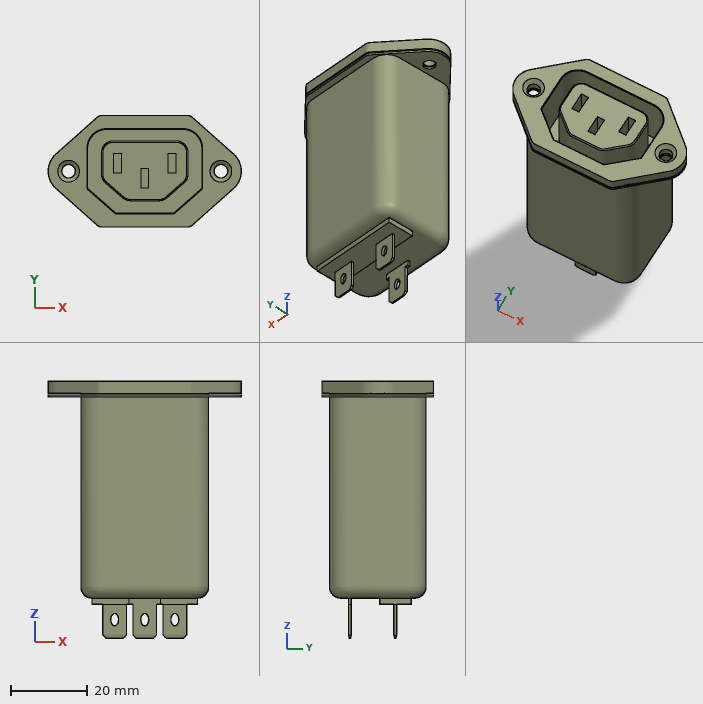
import math

import cadquery as cq

OVERALL_HEIGHT = 67.5

FLANGE_LENGTH = 50.8
FLANGE_WIDTH = 29.4
FLANGE_THICKNESS = 3.2
END_RADIUS = 6.0
SHOULDER_RADIUS = 2.0
FLANK_NORMAL_ANGLE = math.radians(48.3)
PLATE_GAP = 0.4
PLATE_THICKNESS = 0.6

SCREW_SPACING = 40.0
SCREW_DIAMETER = 3.5
COUNTERSINK_DIAMETER = 5.7
COUNTERSINK_ANGLE = math.radians(90)

BODY_LENGTH = 33.6
BODY_WIDTH = 25.4
BODY_CORNER_RADIUS = 5.0
BODY_BOTTOM_RADIUS = 3.0

RECESS_LENGTH = 30.0
RECESS_WIDTH = 22.0
RECESS_CUT_X = 7.4
RECESS_CUT_Y = 6.5
RECESS_CORNER_RADIUS = 5.0
RECESS_DEPTH = 17.0
RECESS_RIM_CHAMFER = 0.2
ISLAND_LENGTH = 22.7
ISLAND_WIDTH = 15.7
ISLAND_OFFSET_Y = 0.1
ISLAND_CUT_X = 6.4
ISLAND_CUT_Y = 5.6
ISLAND_CORNER_RADIUS = 3.0
ISLAND_CUT_RADIUS = 3.0
ISLAND_TOP_CHAMFER = 0.35

SLOT_WIDTH = 2.1
SLOT_LENGTH = 5.1
SLOT_OUTER_X = 7.1
SLOT_OFFSET_Y = 1.95
SLOT_DEPTH = RECESS_DEPTH

TAB_WIDTH = 6.3
TAB_THICKNESS = 0.8
TAB_LENGTH = 8.9
TAB_SPACING = 7.9
TAB_TIP_CHAMFER = 0.9
TAB_TIP_BEVEL = 0.2
TAB_HOLE_WIDTH = 2.0
TAB_HOLE_HEIGHT = 3.2
TAB_HOLE_ABOVE_TIP = 4.9
OUTER_TAB_Y = 4.6
MIDDLE_TAB_Y = -7.3
TAB_SHOULDER_WIDTH = 8.3

BLOCK_LENGTH = 27.8
BLOCK_HEIGHT = 1.6
BLOCK_BACK_Y = 8.8
BLOCK_FRONT_Y = 0.5

TIP_Z = -OVERALL_HEIGHT
BLOCK_BOTTOM_Z = TIP_Z + TAB_LENGTH
BODY_BOTTOM_Z = BLOCK_BOTTOM_Z + BLOCK_HEIGHT
PLATE_TOP_Z = -FLANGE_THICKNESS - PLATE_GAP
EMBED = 1.0


def flange_layer(top_z, thickness):
    """Hexagonal layer with rounded ends and softened shoulders."""
    half_width = FLANGE_WIDTH / 2
    end_centre_x = FLANGE_LENGTH / 2 - END_RADIUS
    tip_x = end_centre_x + END_RADIUS / math.cos(FLANK_NORMAL_ANGLE)
    shoulder_x = tip_x - half_width * math.tan(FLANK_NORMAL_ANGLE)
    outline = [
        (tip_x, 0),
        (shoulder_x, half_width),
        (-shoulder_x, half_width),
        (-tip_x, 0),
        (-shoulder_x, -half_width),
        (shoulder_x, -half_width),
    ]
    layer = cq.Workplane("XY", origin=(0, 0, top_z)).polyline(outline).close().extrude(-thickness)
    layer = layer.edges("|Z and (>X or <X)").fillet(END_RADIUS)
    return layer.edges("|Z and (>Y or <Y)").fillet(SHOULDER_RADIUS)


def housing():
    """Rounded box from the flange down to its filleted bottom."""
    body = cq.Workplane("XY").rect(BODY_LENGTH, BODY_WIDTH).extrude(BODY_BOTTOM_Z)
    body = body.edges("|Z").fillet(BODY_CORNER_RADIUS)
    return body.faces("<Z").edges().fillet(BODY_BOTTOM_RADIUS)


def cut_corner_prism(length, width, cut_x, cut_y, corner_radius):
    """Downward prism with rounded +Y corners and slanted cuts at the -Y corners."""
    half_length = length / 2
    half_width = width / 2
    outline = [
        (half_length, half_width),
        (-half_length, half_width),
        (-half_length, -half_width + cut_y),
        (-half_length + cut_x, -half_width),
        (half_length - cut_x, -half_width),
        (half_length, -half_width + cut_y),
    ]
    prism = cq.Workplane("XY").polyline(outline).close().extrude(-RECESS_DEPTH)
    return prism.edges("|Z and >Y").fillet(corner_radius)


def cut_recess(flanged_body):
    """Cut the socket opening into the top face and chamfer its rim."""
    opening = cut_corner_prism(
        RECESS_LENGTH, RECESS_WIDTH, RECESS_CUT_X, RECESS_CUT_Y, RECESS_CORNER_RADIUS
    )
    half_length = BODY_LENGTH / 2
    half_width = BODY_WIDTH / 2
    around_rim = cq.selectors.BoxSelector(
        (-half_length, -half_width, -EMBED), (half_length, half_width, EMBED)
    )
    opened = flanged_body.cut(opening)
    return opened.faces(">Z").edges(around_rim).chamfer(RECESS_RIM_CHAMFER)


def island():
    """Contact island with chamfered top edge and three contact slots."""
    plug = cut_corner_prism(
        ISLAND_LENGTH, ISLAND_WIDTH, ISLAND_CUT_X, ISLAND_CUT_Y, ISLAND_CORNER_RADIUS
    )
    cut_corner_region = cq.selectors.BoxSelector(
        (-ISLAND_LENGTH, -ISLAND_WIDTH, -RECESS_DEPTH), (ISLAND_LENGTH, 0, 0)
    )
    plug = plug.edges("|Z").edges(cut_corner_region).fillet(ISLAND_CUT_RADIUS)
    plug = plug.faces(">Z").edges().chamfer(ISLAND_TOP_CHAMFER)
    slot_centres = [
        (-SLOT_OUTER_X, SLOT_OFFSET_Y),
        (0, -SLOT_OFFSET_Y),
        (SLOT_OUTER_X, SLOT_OFFSET_Y),
    ]
    slots = cq.Workplane("XY").pushPoints(slot_centres).rect(SLOT_WIDTH, SLOT_LENGTH).extrude(-SLOT_DEPTH)
    return plug.cut(slots).translate((0, ISLAND_OFFSET_Y, 0))


def screw_holes():
    """Countersunk hole cutters, through the flange and the mounting plate."""
    depth = FLANGE_THICKNESS + PLATE_GAP + PLATE_THICKNESS
    sink_step = (COUNTERSINK_DIAMETER - SCREW_DIAMETER) / 2
    sink_depth = sink_step / math.tan(COUNTERSINK_ANGLE / 2)
    centres = [(-SCREW_SPACING / 2, 0), (SCREW_SPACING / 2, 0)]
    cutters = cq.Workplane("XY").pushPoints(centres).circle(SCREW_DIAMETER / 2).extrude(-depth)
    sink = cq.Solid.makeCone(
        COUNTERSINK_DIAMETER / 2, SCREW_DIAMETER / 2, sink_depth, dir=cq.Vector(0, 0, -1)
    )
    for x, y in centres:
        cutters = cutters.union(cq.Workplane(sink.translate(cq.Vector(x, y, 0))))
    return cutters


def tab(x, y):
    """Flat terminal with a bevelled tip and an elliptical eyelet."""
    length = BODY_BOTTOM_Z + EMBED - TIP_Z
    blade = cq.Workplane("XY", origin=(x, y, TIP_Z)).rect(TAB_WIDTH, TAB_THICKNESS).extrude(length)
    blade = blade.faces("<Z").edges("|Y").chamfer(TAB_TIP_CHAMFER)
    half_thickness = TAB_THICKNESS / 2
    half_tip = half_thickness - TAB_TIP_BEVEL
    bevelled_profile = [
        (-half_tip, 0),
        (half_tip, 0),
        (half_thickness, TAB_TIP_CHAMFER),
        (half_thickness, length),
        (-half_thickness, length),
        (-half_thickness, TAB_TIP_CHAMFER),
    ]
    bevelled_strip = (
        cq.Workplane("YZ", origin=(x, y, TIP_Z))
        .polyline(bevelled_profile)
        .close()
        .extrude(TAB_WIDTH, both=True)
    )
    blade = blade.intersect(bevelled_strip)
    eyelet = (
        cq.Workplane("XZ", origin=(x, y, TIP_Z + TAB_HOLE_ABOVE_TIP))
        .ellipse(TAB_HOLE_WIDTH / 2, TAB_HOLE_HEIGHT / 2)
        .extrude(TAB_THICKNESS, both=True)
    )
    return blade.cut(eyelet)


def terminal_block():
    """Block that carries the two outer tabs."""
    centre_y = (BLOCK_BACK_Y + BLOCK_FRONT_Y) / 2
    return (
        cq.Workplane("XY", origin=(0, centre_y, BLOCK_BOTTOM_Z))
        .rect(BLOCK_LENGTH, BLOCK_BACK_Y - BLOCK_FRONT_Y)
        .extrude(BLOCK_HEIGHT + EMBED)
    )


def middle_tab_shoulder():
    """Wider root of the middle tab."""
    return (
        cq.Workplane("XY", origin=(0, MIDDLE_TAB_Y, BLOCK_BOTTOM_Z))
        .rect(TAB_SHOULDER_WIDTH, TAB_THICKNESS)
        .extrude(BLOCK_HEIGHT + EMBED)
    )


result = housing()
result = result.union(flange_layer(0, FLANGE_THICKNESS))
result = result.union(flange_layer(PLATE_TOP_Z, PLATE_THICKNESS))
result = cut_recess(result)
result = result.union(island())
result = result.cut(screw_holes())
result = result.union(terminal_block()).union(middle_tab_shoulder())
tab_centres = [(-TAB_SPACING, OUTER_TAB_Y), (0, MIDDLE_TAB_Y), (TAB_SPACING, OUTER_TAB_Y)]
for tab_x, tab_y in tab_centres:
    result = result.union(tab(tab_x, tab_y))